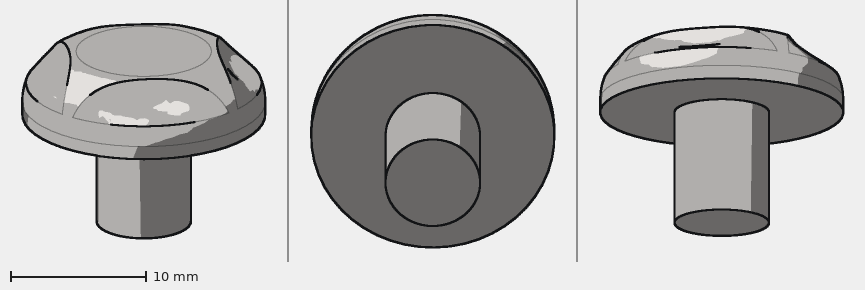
import cadquery as cq
import math

head_diameter = 18.0
overall_height = 13.5
stem_diameter = 7.0
head_height = 5.0
rim_height = 1.0
scallop_depth = 2.5
scallop_radius = 17.0
scallop_distance = 5.49
scallop_count = 4
first_scallop_angle = 45.0

head_radius = head_diameter / 2
head_bottom = overall_height - head_height
shoulder_radius = head_height - rim_height
scallop_floor = overall_height - scallop_depth
shoulder_center = overall_height - shoulder_radius
floor_rise = scallop_floor - shoulder_center
scallop_rim = head_radius - shoulder_radius + math.sqrt(shoulder_radius**2 - floor_rise**2)


def make_head():
    """Round disc with a large rounded shoulder."""
    disc = cq.Workplane("XY", origin=(0, 0, head_bottom)).circle(head_radius).extrude(head_height)
    return disc.faces(">Z").edges().fillet(shoulder_radius)


def make_stem():
    return cq.Workplane("XY").circle(stem_diameter / 2).extrude(head_bottom)


def scallop_middle():
    """Halfway point of a hollow arc that ends level at the rim, on the scallop's center line."""
    width = scallop_rim - scallop_distance
    hollow_radius = (width**2 + scallop_depth**2) / (2 * scallop_depth)
    half_angle = math.asin(width / hollow_radius) / 2
    distance = scallop_rim - hollow_radius * math.sin(half_angle)
    height = scallop_floor + hollow_radius * (1 - math.cos(half_angle))
    return cq.Vector(distance, 0, height)


def make_scallop_cutter(head):
    """Piece of the shoulder closed on its inner side by a smooth hollow surface."""
    bite = (
        cq.Workplane("XY", origin=(0, 0, scallop_floor))
        .center(scallop_distance + scallop_radius, 0)
        .circle(scallop_radius)
        .extrude(scallop_depth)
    )
    shoulder_piece = head.intersect(bite)
    shoulder_faces = shoulder_piece.faces("%TORUS").vals()
    all_edges = [edge for face in shoulder_faces for edge in face.Edges()]
    outline = [edge for edge in all_edges if sum(edge.isSame(other) for other in all_edges) == 1]
    hollow = cq.Face.makeNSidedSurface(outline, [scallop_middle()])
    return cq.Solid.makeSolid(cq.Shell.makeShell(shoulder_faces + [hollow]))


head = make_head()
cutter = make_scallop_cutter(head.rotate((0, 0, 0), (0, 0, 1), 180))

for index in range(scallop_count):
    angle = first_scallop_angle + index * 360 / scallop_count
    head = head.cut(cq.Workplane(cutter.rotate((0, 0, 0), (0, 0, 1), angle)))

result = head.union(make_stem())